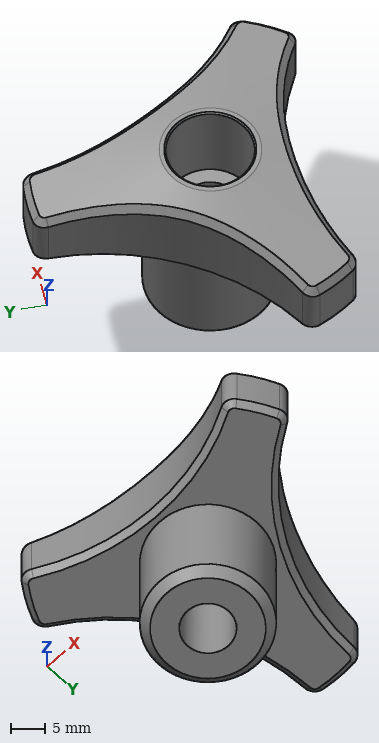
import cadquery as cq
import math

arm_count = 3
hub_height = 19.0
head_height = 14.0
total_height = hub_height + head_height

tip_radius = 27.5
waist_radius = 11.95
flank_radius = 40.0
corner_radius = 2.0
edge_chamfer = 1.0

crown_flat_diameter = 15.0
crown_angle = 12.6

hub_diameter = 20.0
hub_chamfer = 1.55
hole_diameter = 8.4
counterbore_diameter = 13.0
counterbore_depth = head_height
counterbore_chamfer = 0.25


def make_head_blank():
    """Disc with a conical crown, trimmed by one concave flank between each pair of arms."""
    crown_flat_radius = crown_flat_diameter / 2
    crown_drop = (tip_radius - crown_flat_radius) * math.tan(math.radians(crown_angle))
    blank = (
        cq.Workplane("XZ")
        .moveTo(0, hub_height)
        .lineTo(tip_radius, hub_height)
        .lineTo(tip_radius, total_height - crown_drop)
        .lineTo(crown_flat_radius, total_height)
        .lineTo(0, total_height)
        .close()
        .revolve(360, (0, 0, 0), (0, 1, 0))
    )
    flank_cutters = (
        cq.Workplane("XY")
        .workplane(offset=hub_height)
        .polarArray(waist_radius + flank_radius, -90, 360, arm_count)
        .circle(flank_radius)
        .extrude(head_height)
    )
    return blank.cut(flank_cutters)


def make_head():
    """Head with rounded arm corners and chamfered top and bottom rims."""
    head = make_head_blank().edges("|Z").fillet(corner_radius)
    crown_rim = head.faces("%CONE").edges("not(>Z or |Z)")
    head = crown_rim.chamfer(edge_chamfer)
    return head.faces("<Z").chamfer(edge_chamfer)


def make_hub():
    hub = cq.Workplane("XY").circle(hub_diameter / 2).extrude(hub_height)
    return hub.faces("<Z").chamfer(hub_chamfer)


def make_bore():
    """Through hole with a counterbore from the top and a small lead-in chamfer."""
    hole = cq.Workplane("XY").circle(hole_diameter / 2).extrude(total_height)
    counterbore = (
        cq.Workplane("XY")
        .workplane(offset=total_height - counterbore_depth)
        .circle(counterbore_diameter / 2)
        .extrude(counterbore_depth)
    )
    lead_in = (
        cq.Workplane("XY")
        .workplane(offset=total_height)
        .circle(counterbore_diameter / 2 + counterbore_chamfer)
        .extrude(-counterbore_chamfer, taper=45)
    )
    return hole.union(counterbore).union(lead_in)


result = make_head().union(make_hub()).cut(make_bore())